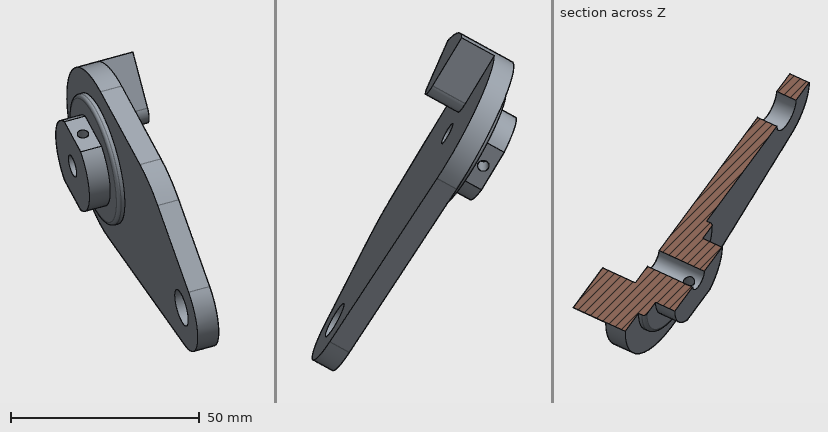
import cadquery as cq
import math

big_radius = 25.0
end_radius = 12.0
end_distance = 59.9
plate_thickness = 6.0
end_hole_diameter = 10.0
shoulder_radius = 30.0
shoulder_x = 29.2

disc_radius = 18.0
disc_height = 2.0
disc_edge_radius = 1.0
boss_radius = 12.5
hub_height = 8.0
boss_height = hub_height - disc_height
boss_flat_distance = 11.0
bore_diameter = 6.0
cross_hole_diameter = 3.0

lug_length = 10.0
lug_angle = math.radians(45)
lug_tip_radius = 4.0


def polar(center, radius, angle):
    return (center[0] + radius * math.cos(angle), center[1] + radius * math.sin(angle))


def front_plane(y):
    """XZ plane at the given Y; extruding goes towards -Y."""
    return cq.Workplane("XZ", origin=(0, y, 0))


def make_plate():
    origin = (0, 0)
    end_center = (end_distance, 0)
    shoulder_center = (shoulder_x, big_radius - shoulder_radius)

    dx = end_center[0] - shoulder_center[0]
    dz = end_center[1] - shoulder_center[1]
    upper_normal = math.atan2(dz, dx) + math.acos((shoulder_radius - end_radius) / math.hypot(dx, dz))
    lower_normal = -math.acos((big_radius - end_radius) / end_distance)

    outline = (
        front_plane(plate_thickness)
        .moveTo(0, big_radius)
        .lineTo(shoulder_x, big_radius)
        .threePointArc(
            polar(shoulder_center, shoulder_radius, (math.pi / 2 + upper_normal) / 2),
            polar(shoulder_center, shoulder_radius, upper_normal),
        )
        .lineTo(*polar(end_center, end_radius, upper_normal))
        .threePointArc(
            polar(end_center, end_radius, 0),
            polar(end_center, end_radius, lower_normal),
        )
        .lineTo(*polar(origin, big_radius, lower_normal))
        .threePointArc((-big_radius, 0), (0, big_radius))
        .close()
    )
    end_hole = front_plane(plate_thickness).center(*end_center).circle(end_hole_diameter / 2)
    return outline.extrude(plate_thickness).cut(end_hole.extrude(plate_thickness))


def make_hub():
    disc = front_plane(0).circle(disc_radius).extrude(disc_height)
    disc = disc.faces("<Y").edges().fillet(disc_edge_radius)
    boss = front_plane(-disc_height).circle(boss_radius).extrude(boss_height)
    flats = front_plane(-disc_height).rect(2 * boss_radius, 2 * boss_flat_distance).extrude(boss_height)
    return disc.union(boss.intersect(flats))


def make_lug():
    origin = (0, 0)
    left = math.pi
    upper = left - lug_angle
    tip_start = lug_tip_radius / math.tan(lug_angle / 2)
    tip_center = (-tip_start, lug_tip_radius)
    return (
        front_plane(plate_thickness + lug_length)
        .moveTo(-big_radius, 0)
        .threePointArc(
            polar(origin, big_radius, left - lug_angle / 2),
            polar(origin, big_radius, upper),
        )
        .lineTo(*polar(origin, tip_start, upper))
        .threePointArc(polar(tip_center, lug_tip_radius, 0), (-tip_start, 0))
        .close()
        .extrude(lug_length)
    )


bore = front_plane(plate_thickness).circle(bore_diameter / 2)
bore = bore.extrude(plate_thickness + hub_height)
cross_hole = (
    cq.Workplane("XY", origin=(0, -disc_height - boss_height / 2, 0))
    .circle(cross_hole_diameter / 2)
    .extrude(boss_radius, both=True)
)

result = make_plate().union(make_hub()).union(make_lug()).cut(bore).cut(cross_hole)